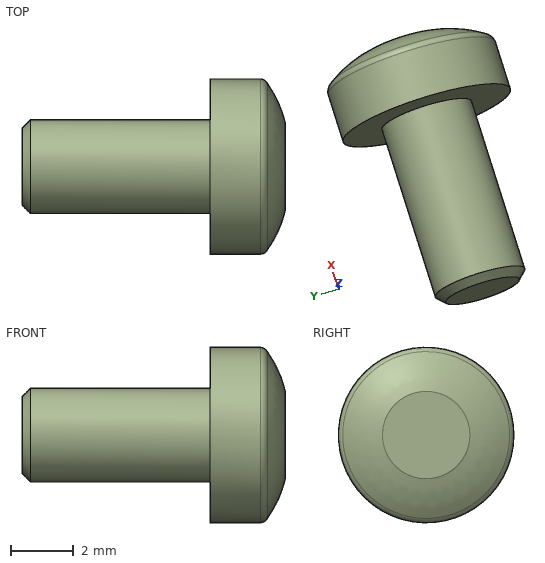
import cadquery as cq

total_length = 8.4
head_length = 2.4
head_radius = 2.801
shank_radius = 1.499
chamfer_length = 0.27

rim_length = 1.605
rim_round_length = 0.22
dome_base_radius = 2.66
crown_flat_radius = 1.395
rim_round_bulge = 0.03
dome_bulge = 0.07

tip_x = -total_length / 2
crown_x = total_length / 2
bearing_x = crown_x - head_length
rim_end_x = bearing_x + rim_length
dome_start_x = rim_end_x + rim_round_length


def make_shank():
    """Plain cylinder with a chamfered tip, ending on the head's bearing face."""
    return (
        cq.Workplane("YZ", origin=(tip_x, 0, 0))
        .circle(shank_radius)
        .extrude(bearing_x - tip_x)
        .faces("<X")
        .chamfer(chamfer_length)
    )


def make_head():
    """Revolved pan head: cylindrical rim, small round, dome and central flat."""
    return (
        cq.Workplane("XY")
        .moveTo(bearing_x, 0)
        .lineTo(bearing_x, head_radius)
        .lineTo(rim_end_x, head_radius)
        .sagittaArc((dome_start_x, dome_base_radius), rim_round_bulge)
        .sagittaArc((crown_x, crown_flat_radius), dome_bulge)
        .lineTo(crown_x, 0)
        .close()
        .revolve(360, (0, 0, 0), (1, 0, 0))
    )


shank = make_shank()
head = make_head()

result = cq.Compound.makeCompound([shank.val(), head.val()])